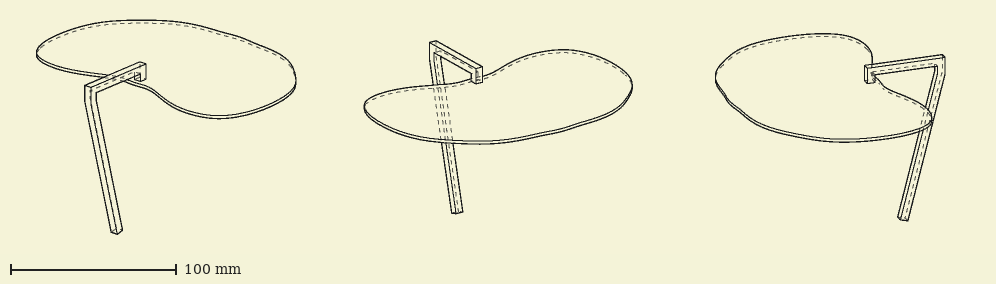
import cadquery as cq
import math

PLATE_THICKNESS = 2.0
HALF_WIDTH = 168.59 / 2
BACK_Y = 87.55
NOTCH_Y = -8.5

HALF_OUTLINE = [
    (12.0, 86.3),
    (28.0, 85.0),
    (46.0, 79.5),
    (62.0, 67.9),
    (76.0, 52.3),
    (HALF_WIDTH, 18.0),
    (81.5, -1.0),
    (74.0, -13.5),
    (52.0, -20.2),
    (28.0, -14.2),
    (9.0, -7.9),
]

ARM_SECTION = 5.0
HOOK_REACH = 50.0
HOOK_HEIGHT = 10.0
LEG_ANGLE = math.radians(14.5)
TOTAL_HEIGHT = 103.22


def make_plate():
    half_points = [(0, BACK_Y)] + HALF_OUTLINE + [(0, NOTCH_Y)]
    half_outline = cq.Workplane("XY").spline(half_points, tangents=[(1, 0), (-1, 0)])
    return half_outline.mirrorY().extrude(PLATE_THICKNESS)


def make_arm():
    top = PLATE_THICKNESS + HOOK_HEIGHT
    underside = top - ARM_SECTION
    outer_y = -HOOK_REACH
    inner_y = outer_y + ARM_SECTION

    inner_bend_z = PLATE_THICKNESS
    outer_bend_z = inner_bend_z - ARM_SECTION * math.tan(LEG_ANGLE / 2)

    foot_z = top - TOTAL_HEIGHT
    foot_y = outer_y + (outer_bend_z - foot_z) * math.tan(LEG_ANGLE)
    foot_inner_y = foot_y + ARM_SECTION * math.cos(LEG_ANGLE)
    foot_inner_z = foot_z + ARM_SECTION * math.sin(LEG_ANGLE)

    profile = [
        (0, PLATE_THICKNESS),
        (0, top),
        (outer_y, top),
        (outer_y, outer_bend_z),
        (foot_y, foot_z),
        (foot_inner_y, foot_inner_z),
        (inner_y, inner_bend_z),
        (inner_y, underside),
        (-ARM_SECTION, underside),
        (-ARM_SECTION, PLATE_THICKNESS),
    ]
    return cq.Workplane("YZ").polyline(profile).close().extrude(ARM_SECTION / 2, both=True)


result = make_plate().union(make_arm())